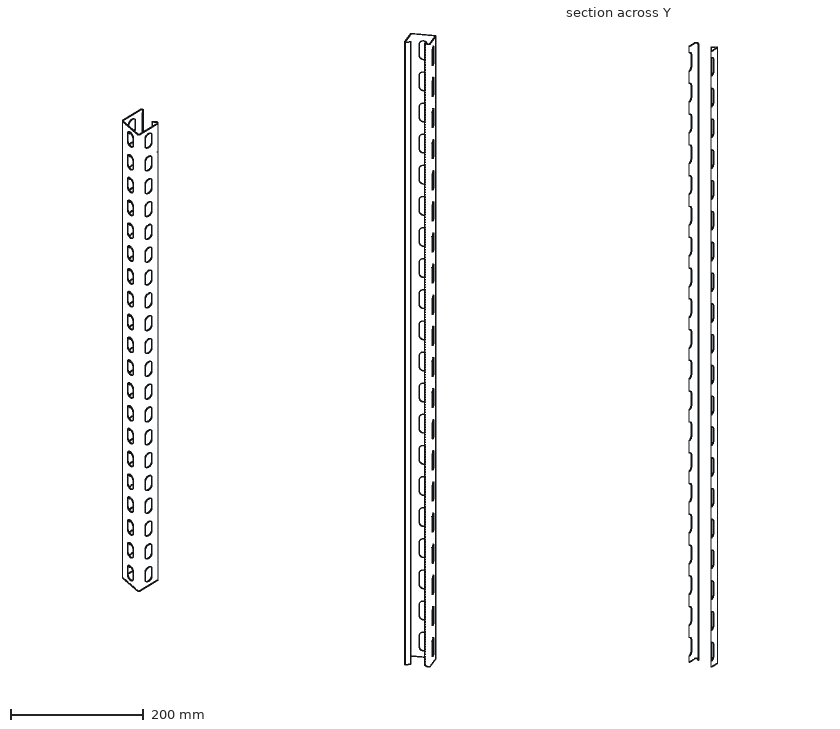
import math

import cadquery as cq

width = 40.0
depth = 40.0
length = 1000.0
thickness = 1.5

inner_bend_radius = 1.5
outer_bend_radius = inner_bend_radius + thickness

mouth_width = 21.0
lip_drop = 5.5
lip_angle = math.radians(45)
lip_inner_radius = 0.5
lip_outer_radius = lip_inner_radius + thickness

slot_length = 30.0
slot_width = 13.0
slot_pitch = 50.0
slot_count = int(length / slot_pitch)


def channel_body():
    """Extruded C-profile with all its bends rounded."""
    outer_x = width / 2
    outer_y = depth / 2
    inner_x = outer_x - thickness
    inner_y = outer_y - thickness

    lip_bend_outer_x = mouth_width / 2 + lip_drop / math.tan(lip_angle)
    lip_bend_inner_x = lip_bend_outer_x + thickness * math.tan(lip_angle / 2)

    tip_outer_x = mouth_width / 2
    tip_outer_y = outer_y - lip_drop
    tip_inner_x = tip_outer_x + thickness * math.sin(lip_angle)
    tip_inner_y = tip_outer_y - thickness * math.cos(lip_angle)

    right_half = [
        (outer_x, -outer_y),
        (outer_x, outer_y),
        (lip_bend_outer_x, outer_y),
        (tip_outer_x, tip_outer_y),
        (tip_inner_x, tip_inner_y),
        (lip_bend_inner_x, inner_y),
        (inner_x, inner_y),
        (inner_x, -inner_y),
    ]
    left_half = [(-x, y) for x, y in reversed(right_half)]
    channel = cq.Workplane("XY").polyline(right_half + left_half).close().extrude(length)

    bends = [
        (outer_x, -outer_y, outer_bend_radius),
        (outer_x, outer_y, outer_bend_radius),
        (inner_x, -inner_y, inner_bend_radius),
        (inner_x, inner_y, inner_bend_radius),
        (lip_bend_outer_x, outer_y, lip_outer_radius),
        (lip_bend_inner_x, inner_y, lip_inner_radius),
    ]
    for x, y, radius in bends:
        for side in (-1, 1):
            corner = cq.selectors.NearestToPointSelector((side * x, y, length / 2))
            channel = channel.edges("|Z").edges(corner).fillet(radius)
    return channel


def slot_row(plane_name, start, cut_length):
    """Row of upright slot cutters, extruded along the plane normal from the start offset."""
    row = cq.Workplane(plane_name).workplane(offset=start).center(0, length / 2)
    row = row.rarray(1, slot_pitch, 1, slot_count)
    return row.slot2D(slot_length, slot_width, 90).extrude(cut_length)


side_slots = slot_row("YZ", -width / 2, width)
base_slots = slot_row("XZ", 0, depth / 2)

result = channel_body().cut(side_slots).cut(base_slots)